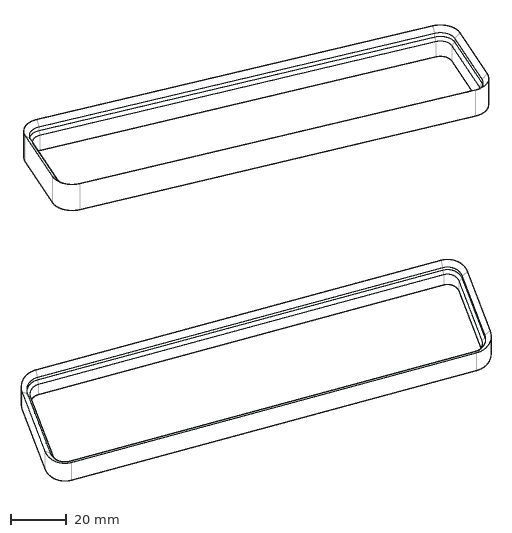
import cadquery as cq

length = 167.5
width = 41.5
height = 11.7
corner_radius = 7.5
wall = 3.2

rim_run = 2.0
rim_drop = rim_run
step_height = 1.7
ledge_run = wall - rim_run
ledge_drop = ledge_run

step_top = height - rim_drop
ledge_top = step_top - step_height


def rounded_block(inset, bottom, top):
    """Upright block with rounded corners, its sides set in from the outer faces."""
    return (
        cq.Workplane("XY", origin=(0, 0, bottom))
        .rect(width - 2 * inset, length - 2 * inset)
        .extrude(top - bottom)
        .edges("|Z")
        .fillet(corner_radius - inset)
    )


def flared_block(inset, bottom, top, run, drop):
    """Block that flares outward by the run over the last drop below its top face."""
    flare = (
        rounded_block(inset - run, top - drop, top + drop)
        .faces("<Z")
        .chamfer(drop, run)
    )
    return rounded_block(inset, bottom, top - drop).union(flare)


frame = rounded_block(0, 0, height)
bore = flared_block(wall, 0, ledge_top, ledge_run, ledge_drop)
rim = flared_block(rim_run, ledge_top, height, rim_run, rim_drop)
result = frame.cut(bore).cut(rim)